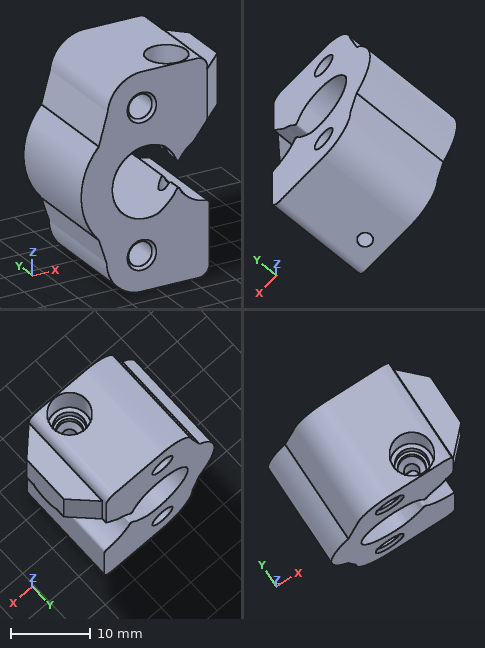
import cadquery as cq
import math


body_depth = 14.67
front_y = -body_depth / 2
top_z = 15.5
bottom_z = top_z - 30.59
upper_right_x = 8.77
lower_right_x = 9.08

bore_radius = 5.02
back_radius = 9.54
back_end_z = 6.5
corner_x = -0.74
upper_corner_radius = 5.0
upper_corner_z = top_z - upper_corner_radius
lower_corner_radius = 5.09
lower_corner_z = bottom_z + lower_corner_radius
upper_corner_end_rise = 0.49
edge_fillet = 1.5
jaw_edge_fillet = 0.5

upper_lip_start_x = 2.6
upper_lip_middle = (3.69, 3.16)
lip_left_x = 4.27
lip_tip_x = 4.53
lip_right_x = 4.79
lip_tip_z = 1.9
lip_side_z = 2.08
relief_start_x = 1.65
relief_middle = (2.75, -3.9)
relief_end = (3.83, -2.79)
relief_start_blend = 2.0
relief_end_blend = 1.0
mouth_middle = (6.05, 3.52)
upper_mouth_end = (6.8, 4.05)
upper_jaw_corner_z = 6.57
lower_jaw_corner_z = -4.52

mount_hole_diameter = 3.4
mount_sink_diameter = 4.2
mount_sink_depth = (mount_sink_diameter - mount_hole_diameter) / 2

screw_x = 4.53
screw_y = front_y + 3.0
screw_pilot_diameter = 2.0
screw_steps = [(5.65, 6.0), (4.4, 7.5), (3.6, 8.5)]

tab_tip_x = 12.23
tab_top_z = 13.71
tab_bottom_z = upper_jaw_corner_z
tab_base_width = 13.97
rib_radius = 6.25 / 2
rib_bottom_z = 5.69
rib_start_x = 7.5

pick_margin = 0.05


def height_on_circle(radius, x):
    return math.sqrt(radius**2 - x**2)


def point_on_corner(radius, center_z, angle):
    """Point on an outer corner arc at an angle in degrees from +X."""
    turn = math.radians(angle)
    return (corner_x + radius * math.cos(turn), center_z + radius * math.sin(turn))


def round_edge(body, corner, radius):
    """Round the edge along Y that passes through an (x, z) outline corner."""
    x, z = corner
    edge_zone = cq.selectors.BoxSelector(
        (x - pick_margin, -body_depth, z - pick_margin),
        (x + pick_margin, body_depth, z + pick_margin),
    )
    return body.edges("|Y").edges(edge_zone).fillet(radius)


def make_body():
    back_end_x = -height_on_circle(back_radius, back_end_z)
    upper_end_angle = 180 - math.degrees(math.asin(upper_corner_end_rise / upper_corner_radius))
    upper_middle_angle = (90 + upper_end_angle) / 2
    upper_lip_start = (upper_lip_start_x, height_on_circle(bore_radius, upper_lip_start_x))
    relief_start = (relief_start_x, -height_on_circle(bore_radius, relief_start_x))
    outline = (
        cq.Workplane("XZ", origin=(0, body_depth / 2, 0))
        .moveTo(upper_right_x, top_z)
        .lineTo(corner_x, top_z)
        .threePointArc(
            point_on_corner(upper_corner_radius, upper_corner_z, upper_middle_angle),
            point_on_corner(upper_corner_radius, upper_corner_z, upper_end_angle),
        )
        .lineTo(back_end_x, back_end_z)
        .threePointArc((-back_radius, 0), (back_end_x, -back_end_z))
        .lineTo(*point_on_corner(lower_corner_radius, lower_corner_z, 180))
        .threePointArc(point_on_corner(lower_corner_radius, lower_corner_z, 225), (corner_x, bottom_z))
        .lineTo(lower_right_x, bottom_z)
        .lineTo(lower_right_x, lower_jaw_corner_z)
        .threePointArc((mouth_middle[0], -mouth_middle[1]), (lip_right_x, -lip_side_z))
        .threePointArc((lip_tip_x, -lip_tip_z), (lip_left_x, -lip_side_z))
        .lineTo(*relief_end)
        .threePointArc(relief_middle, relief_start)
        .threePointArc((-bore_radius, 0), upper_lip_start)
        .threePointArc(upper_lip_middle, (lip_left_x, lip_side_z))
        .threePointArc((lip_tip_x, lip_tip_z), (lip_right_x, lip_side_z))
        .threePointArc(mouth_middle, upper_mouth_end)
        .lineTo(upper_right_x, upper_jaw_corner_z)
        .close()
    )
    body = outline.extrude(body_depth)
    rounded_corners = [
        ((upper_right_x, top_z), edge_fillet),
        ((lower_right_x, bottom_z), edge_fillet),
        ((lower_right_x, lower_jaw_corner_z), jaw_edge_fillet),
        (relief_start, relief_start_blend),
        (relief_end, relief_end_blend),
    ]
    for corner, radius in rounded_corners:
        body = round_edge(body, corner, radius)
    return body


def make_tab():
    taper = tab_tip_x - upper_right_x
    base_back_y = front_y + tab_base_width
    tab = (
        cq.Workplane("XY", origin=(0, 0, tab_bottom_z))
        .polyline([
            (upper_right_x, front_y),
            (tab_tip_x, front_y + taper),
            (tab_tip_x, base_back_y - taper),
            (upper_right_x, base_back_y),
        ])
        .close()
        .extrude(tab_top_z - tab_bottom_z)
    )
    rib_center_y = front_y + tab_base_width / 2
    rib = (
        cq.Workplane("YZ", origin=(rib_start_x, rib_center_y, rib_bottom_z + rib_radius))
        .circle(rib_radius)
        .extrude(tab_tip_x - rib_start_x)
    )
    return tab.union(rib)


def make_mount_hole(z):
    front = cq.Workplane("XZ", origin=(corner_x, front_y, z))
    hole = front.circle(mount_hole_diameter / 2).extrude(-body_depth)
    sink = (
        front.circle(mount_sink_diameter / 2)
        .workplane(offset=-mount_sink_depth)
        .circle(mount_hole_diameter / 2)
        .loft()
    )
    return hole.union(sink)


def make_screw_hole():
    top = cq.Workplane("XY", origin=(screw_x, screw_y, top_z))
    hole = top.circle(screw_pilot_diameter / 2).extrude(bottom_z - top_z)
    for diameter, depth in screw_steps:
        hole = hole.union(top.circle(diameter / 2).extrude(-depth))
    last_diameter, last_depth = screw_steps[-1]
    cone_depth = (last_diameter - screw_pilot_diameter) / 2
    cone = (
        top.workplane(offset=-last_depth)
        .circle(last_diameter / 2)
        .workplane(offset=-cone_depth)
        .circle(screw_pilot_diameter / 2)
        .loft()
    )
    return hole.union(cone)


result = make_body().union(make_tab())
for mount_z in (upper_corner_z, lower_corner_z):
    result = result.cut(make_mount_hole(mount_z))
result = result.cut(make_screw_hole())